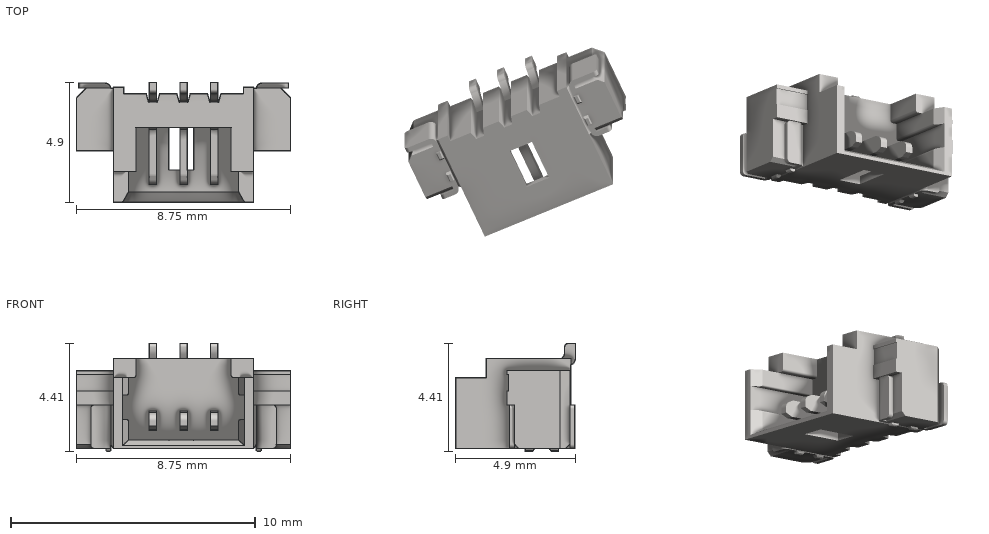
import cadquery as cq


body_half = 2.86
body_depth = 4.71
body_height = 3.68
wall_top = 2.9
arm_front = 1.25
arm_gap_half = 1.94
arm_round = 0.105

cavity_back = 3.05
cavity_half = 2.25
channel_half = 2.485
channel_bottom = 1.18
channel_top = 2.19
rib_round = 0.07
floor_top = 0.34
mouth_floor = 0.13
mouth_depth = 0.43
window_left = -0.595
window_right = 0.41
window_front = 1.32

back_recess_half = 2.44
back_recess_face = 4.44
notch_face = 4.095
notch_inner_width = 0.35
notch_outer_width = 0.54

contact_pitch = 1.25
contact_width = 0.31
contact_count = 3
contact_centers = [contact_pitch * (i - (contact_count - 1) / 2) for i in range(contact_count)]
blade_bottom = 0.79
blade_top = 1.48
blade_root_rise = 0.05
blade_root_length = 0.08
blade_tip = 0.735
nose_chamfer_length = 0.3
nose_chamfer_height = 0.13
nose_radius = 0.28
nose_round_bottom = 1.14
nose_round_end = (0.9, 1.39)
nose_flat_end = (1.06, 1.46)
shoulder_start = 1.19
shoulder_radius = 0.32
contact_embed = 0.175
leg_back = 4.9
leg_front = 4.445
leg_top = 4.3
leg_round = 0.16
heel_round = 0.315
heel_top = 3.675
heel_end = (4.71, 3.41)
instep_radius = 0.26
instep_top = 3.88
instep_end = (4.375, 3.73)
slope_foot = (4.18, 3.535)
leg_root_top = 3.17

ear_half = 4.375
ear_front = 2.1
ear_back = 4.66
ear_top = 3.185
ear_chamfer = 0.39
ear_lower_face = 2.41
step_height = 1.785
ear_bottom_chamfer = 0.175
label_bottom = 2.345
label_top = 3.03
label_depth = 0.05

clip_inner = 2.97
clip_thickness = 0.21
clip_bend = 0.25
clip_corner = 0.16
front_plate_outer = 3.79
rear_plate_outer = 4.29
peg_drop = 0.11
peg_chamfer = 0.04
peg_tip_outer = 0.68
peg_tip_inner = 0.385
peg_root_inner = 0.3
peg_middle = 3.53
groove_height = 0.14


def block(x0, x1, y0, y1, z0, z1):
    """Box between two opposite corners."""
    return cq.Workplane("XY").box(x1 - x0, y1 - y0, z1 - z0, centered=False).translate((x0, y0, z0))


def both_sides(shape):
    """The shape together with its mirror image about the YZ plane."""
    return shape.union(shape.mirror("YZ"))


def side_profile(outline, center_x, width):
    """Extrude a closed YZ outline evenly about center_x."""
    return outline.extrude(width / 2, both=True).translate((center_x, 0, 0))


def make_mouth_flare():
    """Tapered opening that widens the cavity towards the mouth; its top stays level."""
    return (
        cq.Workplane("XZ")
        .polyline([(-channel_half, mouth_floor), (channel_half, mouth_floor),
                   (channel_half, wall_top), (-channel_half, wall_top)])
        .close()
        .workplane(offset=-mouth_depth)
        .polyline([(-cavity_half, floor_top), (cavity_half, floor_top),
                   (cavity_half, wall_top), (-cavity_half, wall_top)])
        .close()
        .loft(ruled=True)
    )


def make_cavity():
    cavity = block(-cavity_half, cavity_half, 0, cavity_back, floor_top, wall_top)
    channels = block(-channel_half, channel_half, 0, cavity_back, channel_bottom, channel_top)
    cavity = cavity.union(channels)
    margin = 0.01
    rib_edges = cq.selectors.BoxSelector(
        (-cavity_half - margin, 0, channel_bottom - margin),
        (cavity_half + margin, cavity_back, channel_top + margin),
    )
    cavity = cavity.edges("|Y").edges(rib_edges).fillet(rib_round)
    return cavity.union(make_mouth_flare())


def make_arm_gap():
    """Open top between the arms, with the lower arm edges rounded."""
    outer_half = arm_gap_half + arm_round
    rounding_start = wall_top + arm_round
    return (
        cq.Workplane("XZ")
        .moveTo(-outer_half, wall_top)
        .lineTo(outer_half, wall_top)
        .radiusArc((arm_gap_half, rounding_start), arm_round)
        .lineTo(arm_gap_half, body_height)
        .lineTo(-arm_gap_half, body_height)
        .lineTo(-arm_gap_half, rounding_start)
        .radiusArc((-outer_half, wall_top), arm_round)
        .close()
        .extrude(-cavity_back)
    )


def make_notch(center_x):
    """Flared slot in the back of the housing that clears one solder leg."""
    inner = notch_inner_width / 2
    outer = notch_outer_width / 2
    return (
        cq.Workplane("XY")
        .polyline([(-inner, notch_face), (inner, notch_face),
                   (outer, back_recess_face), (-outer, back_recess_face)])
        .close()
        .extrude(body_height)
        .translate((center_x, 0, 0))
    )


def make_housing():
    housing = block(-body_half, body_half, 0, body_depth, 0, body_height)
    housing = housing.cut(block(-body_half, body_half, 0, arm_front, wall_top, body_height))
    housing = housing.cut(make_cavity()).cut(make_arm_gap())
    housing = housing.cut(block(window_left, window_right, window_front, cavity_back, 0, floor_top))
    back_recess = block(-back_recess_half, back_recess_half, back_recess_face, body_depth, 0, body_height)
    housing = housing.cut(back_recess)
    for center_x in contact_centers:
        housing = housing.cut(make_notch(center_x))
    return housing


def make_blade(center_x):
    """Mating blade with a rounded upper nose and a chamfered lower nose."""
    root_end = cavity_back + contact_embed
    ramp_start = cavity_back - blade_root_length
    outline = (
        cq.Workplane("YZ")
        .moveTo(root_end, blade_bottom - blade_root_rise)
        .lineTo(cavity_back, blade_bottom - blade_root_rise)
        .lineTo(ramp_start, blade_bottom)
        .lineTo(blade_tip + nose_chamfer_length, blade_bottom)
        .lineTo(blade_tip, blade_bottom + nose_chamfer_height)
        .lineTo(blade_tip, nose_round_bottom)
        .radiusArc(nose_round_end, nose_radius)
        .lineTo(*nose_flat_end)
        .radiusArc((shoulder_start, blade_top), shoulder_radius)
        .lineTo(ramp_start, blade_top)
        .lineTo(cavity_back, blade_top + blade_root_rise)
        .lineTo(root_end, blade_top + blade_root_rise)
        .close()
    )
    return side_profile(outline, center_x, contact_width)


def make_leg(center_x):
    """Upright solder leg that bends forward into the back wall."""
    root = notch_face - contact_embed
    heel_y, heel_z = heel_end
    outline = (
        cq.Workplane("YZ")
        .moveTo(leg_back, leg_top)
        .lineTo(leg_back, heel_top)
        .radiusArc(heel_end, heel_round)
        .lineTo(root, heel_z - (heel_y - root))
        .lineTo(root, leg_root_top)
        .lineTo(*slope_foot)
        .lineTo(*instep_end)
        .radiusArc((leg_front, instep_top), -instep_radius)
        .lineTo(leg_front, leg_top - leg_round)
        .radiusArc((leg_front + leg_round, leg_top), leg_round)
        .close()
    )
    return side_profile(outline, center_x, contact_width)


def make_ear():
    ear = block(body_half, ear_half, ear_front, ear_back, 0, ear_top)
    ear = ear.edges("|Z and >X and >Y").chamfer(ear_chamfer)
    ear = ear.cut(block(body_half, ear_half, ear_front, ear_lower_face, 0, step_height))
    ear = ear.cut(block(body_half, ear_half, ear_front, ear_front + label_depth, label_bottom, label_top))
    return ear.cut(make_ear_bottom_chamfers()).cut(make_clip_groove())


def make_ear_bottom_chamfers():
    """Front and back bottom chamfers, running from the clip to the outer side of the ear."""
    size = ear_bottom_chamfer
    front_wedge = [(ear_lower_face, 0), (ear_lower_face + size, 0), (ear_lower_face, size)]
    back_wedge = [(ear_back, 0), (ear_back - size, 0), (ear_back, size)]
    return (
        cq.Workplane("YZ", origin=(clip_inner, 0, 0))
        .polyline(front_wedge).close()
        .polyline(back_wedge).close()
        .extrude(ear_half - clip_inner)
    )


def make_clip_groove():
    """Sloping groove along the underside, between the housing side and the clip."""
    return (
        cq.Workplane("XZ")
        .polyline([(body_half, 0), (clip_inner, 0), (clip_inner, groove_height)])
        .close()
        .extrude(-ear_back)
    )


def make_clip():
    """Visible ends of one hold-down clip: front plate, rear plate and two bottom pegs."""
    front = block(clip_inner, front_plate_outer, ear_lower_face - clip_thickness, ear_lower_face,
                  0, step_height)
    front = front.edges("|Y and >X").fillet(clip_corner)
    front = front.union(block(clip_inner, clip_inner + clip_thickness, ear_lower_face,
                              ear_lower_face + clip_bend, 0, step_height))
    front = front.edges("|Z and <X and <Y").fillet(clip_bend)

    rear = block(clip_inner, rear_plate_outer, ear_back, ear_back + clip_thickness, 0, step_height)
    rear = rear.edges("|Y and >X").fillet(clip_corner)
    rear = rear.union(block(clip_inner, clip_inner + clip_thickness, ear_back - clip_bend,
                            ear_back, 0, step_height))
    rear = rear.edges("|Z and <X and >Y").fillet(clip_bend)

    return front.union(rear).union(make_pegs())


def make_pegs():
    """Two short pegs below the clip, sloped on the sides that face each other."""
    rear_peg = (
        cq.Workplane("YZ", origin=(clip_inner, 0, 0))
        .polyline([(peg_tip_outer, clip_thickness), (peg_tip_outer, -peg_drop),
                   (peg_tip_inner, -peg_drop), (peg_root_inner, 0), (peg_root_inner, clip_thickness)])
        .close()
        .extrude(clip_thickness)
        .faces("<Z").edges("|Y").chamfer(peg_chamfer)
    )
    pegs = rear_peg.union(rear_peg.mirror("XZ"))
    return pegs.translate((0, peg_middle, 0))


result = make_housing()
result = result.union(both_sides(make_ear()))
result = result.union(both_sides(make_clip()))
for contact_x in contact_centers:
    result = result.union(make_blade(contact_x)).union(make_leg(contact_x))